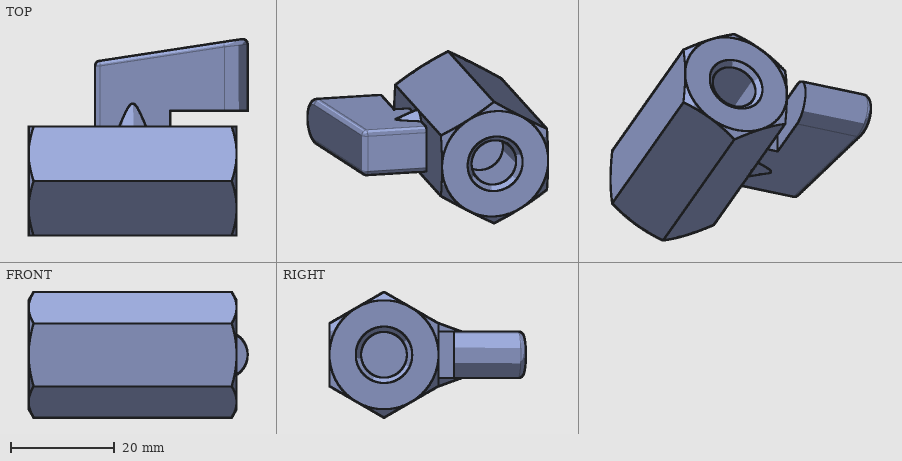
import cadquery as cq
import math

body_length = 40.0
across_flats = 21.0
across_corners = across_flats / math.cos(math.radians(30))
flat_distance = across_flats / 2
corner_radius = across_corners / 2
end_chamfer_angle = 30

bore_diameter = 8.8
bore_depth = 12.0
bore_mouth_diameter = 10.87
bore_chamfer = (bore_mouth_diameter - bore_diameter) / 2

stem_x = body_length / 2
lever_tip_x = 42.15
lever_thickness = 9.0
nose_radius = lever_thickness / 2
nose_center_x = lever_tip_x - nose_radius
foot_half_length = 7.25
foot_start_x = stem_x - foot_half_length
foot_end_x = stem_x + foot_half_length
overhang_gap = 3.0
lever_slope_angle = 8.7
lever_start_height = 12.5
lever_end_height = (
    lever_start_height
    + (lever_tip_x - foot_start_x) * math.tan(math.radians(lever_slope_angle))
)
lever_fillet = 1.0

boss_half_width = 6.1
boss_end_radius = 2.85
boss_taper = 20
boss_height = 5.05


def make_end_envelope():
    """Round bar whose conical ends trim the hexagon corners."""
    cone_length = (corner_radius - flat_distance) * math.tan(math.radians(end_chamfer_angle))
    return (
        cq.Workplane("XY")
        .moveTo(0, 0)
        .lineTo(0, flat_distance)
        .lineTo(cone_length, corner_radius)
        .lineTo(body_length - cone_length, corner_radius)
        .lineTo(body_length, flat_distance)
        .lineTo(body_length, 0)
        .close()
        .revolve(360, (0, 0, 0), (1, 0, 0))
    )


def make_bore(mouth_x, inward):
    """Flat-bottomed bore with a 45 degree mouth; inward is +1 or -1 along X."""
    bore_radius = bore_diameter / 2
    return (
        cq.Workplane("XY")
        .moveTo(mouth_x, 0)
        .lineTo(mouth_x, bore_radius + bore_chamfer)
        .lineTo(mouth_x + inward * bore_chamfer, bore_radius)
        .lineTo(mouth_x + inward * bore_depth, bore_radius)
        .lineTo(mouth_x + inward * bore_depth, 0)
        .close()
        .revolve(360, (0, 0, 0), (1, 0, 0))
    )


def make_body():
    """Hexagonal bar with trimmed corners and a bore in each end."""
    hexagon = (
        cq.Workplane("YZ")
        .polygon(6, across_corners)
        .extrude(body_length)
        .rotate((0, 0, 0), (1, 0, 0), 30)
    )
    body = hexagon.intersect(make_end_envelope())
    for mouth_x, inward in ((0, 1), (body_length, -1)):
        body = body.cut(make_bore(mouth_x, inward))
    return body


def make_lever_blade():
    """Sloping blade with a full-round nose and rounded outer edges."""
    blade = (
        cq.Workplane("XZ", origin=(0, flat_distance, 0))
        .moveTo(foot_start_x, -nose_radius)
        .lineTo(nose_center_x, -nose_radius)
        .threePointArc((lever_tip_x, 0), (nose_center_x, nose_radius))
        .lineTo(foot_start_x, nose_radius)
        .close()
        .extrude(-lever_end_height)
    )
    profile = (
        cq.Workplane("XY", origin=(0, flat_distance, 0))
        .moveTo(foot_start_x, 0)
        .lineTo(foot_start_x, lever_start_height)
        .lineTo(lever_tip_x, lever_end_height)
        .lineTo(lever_tip_x, overhang_gap)
        .lineTo(foot_end_x, overhang_gap)
        .lineTo(foot_end_x, 0)
        .close()
        .extrude(nose_radius, both=True)
    )
    blade = blade.intersect(profile)
    rim = blade.faces(">Y").edges()
    uprights = blade.faces("<X").edges("|Y")
    return rim.add(uprights).fillet(lever_fillet)


def make_boss():
    """Two tapered round ends joined by straight tapered sides."""
    return (
        cq.Workplane("XZ", origin=(stem_x, flat_distance, 0))
        .slot2D(2 * boss_half_width, 2 * boss_end_radius, 90)
        .extrude(-boss_height, taper=boss_taper)
    )


def make_lever():
    """Blade and boss as one solid."""
    return make_lever_blade().union(make_boss()).solids()


body = make_body()
lever = make_lever()

result = cq.Compound.makeCompound([body.val(), lever.val()])